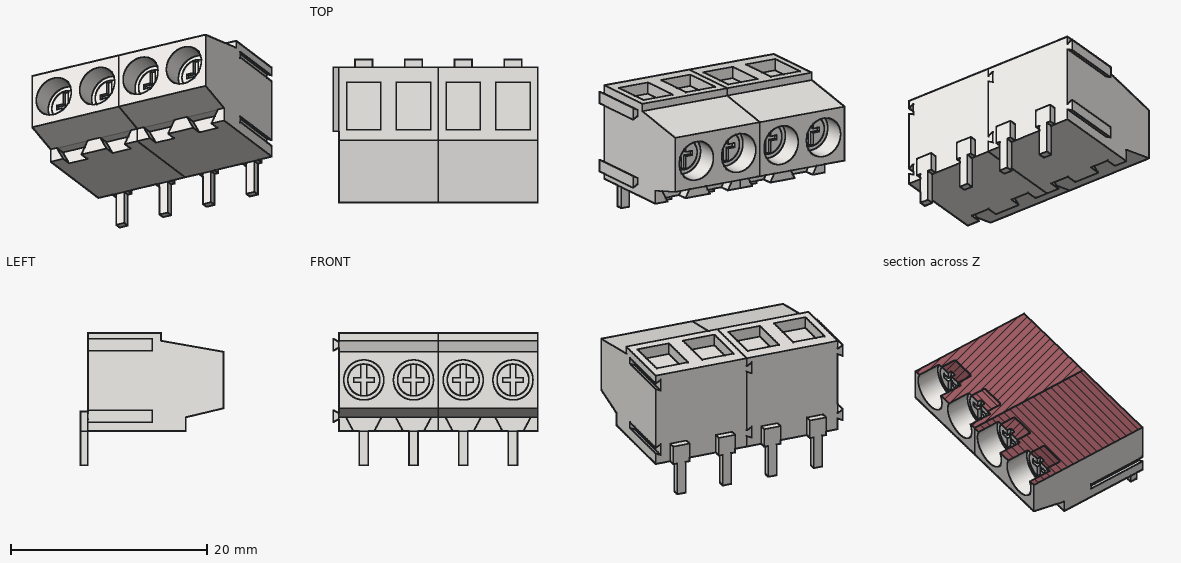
import cadquery as cq


MODULE_COUNT = 2
POLES_PER_MODULE = 2
POLE_PITCH = 5.07
MODULE_WIDTH = POLES_PER_MODULE * POLE_PITCH
POLE_COUNT = MODULE_COUNT * POLES_PER_MODULE
TOTAL_LENGTH = 20.87
TOTAL_DEPTH = 14.6

PIN_THICKNESS = 0.77
PIN_HEAD_WIDTH = 1.82
PIN_HEAD_HEIGHT = 2.0
PIN_LEG_WIDTH = 0.95
PIN_LEG_LENGTH = 3.49

BODY_HEIGHT = 10.02
BODY_DEPTH = TOTAL_DEPTH - PIN_THICKNESS
TOP_DEPTH = 7.45
TOP_STEP = 0.8
NOSE_TOP = 8.1
NOSE_BOTTOM = 2.32
FOOT_DEPTH = 9.98
FOOT_HEIGHT = 1.4

RAIL_PROJECTION = TOTAL_LENGTH - MODULE_COUNT * MODULE_WIDTH
RAIL_LENGTH = 6.57
RAIL_TIP_HEIGHT = 1.25
RAIL_ROOT_HEIGHT = 0.63
RAIL_CENTRES = (1.52, 8.8)

POCKET_WIDTH = 3.5
POCKET_LENGTH = 4.86
POCKET_BACK_WALL = 1.55
POCKET_DEPTH = 1.21

NOTCH_TOP_WIDTH = 3.61
NOTCH_BOTTOM_WIDTH = 2.13
NOTCH_DEPTH = 1.25

HOLE_RADIUS = 2.05
HOLE_DEPTH = 2.5
HOLE_HEIGHT = 5.22
SCREW_RADIUS = 1.63
SCREW_LENGTH = 1.67
SLOT_DEPTH = 0.42
LONG_SLOT_WIDTH = 0.58
SHORT_SLOT_LENGTH = 2.09
SHORT_SLOT_WIDTH = 0.45

FRONT_Y = -BODY_DEPTH
SCREW_FACE_Y = FRONT_Y + HOLE_DEPTH


def pole_centre(index):
    """X position of a pole, counted from the -X end."""
    return (index + 0.5) * POLE_PITCH


def plane_facing_front(x, y, z):
    """XZ workplane at a point; a positive extrusion goes toward the front."""
    return cq.Workplane("XZ", origin=(x, y, z))


def make_blank():
    """Plain housing: the side profile extruded over one module width."""
    return (
        cq.Workplane("YZ")
        .moveTo(0, 0)
        .lineTo(0, BODY_HEIGHT)
        .lineTo(-TOP_DEPTH, BODY_HEIGHT)
        .lineTo(-TOP_DEPTH, BODY_HEIGHT - TOP_STEP)
        .lineTo(FRONT_Y, NOSE_TOP)
        .lineTo(FRONT_Y, NOSE_BOTTOM)
        .lineTo(-FOOT_DEPTH, FOOT_HEIGHT)
        .lineTo(-FOOT_DEPTH, 0)
        .close()
        .extrude(MODULE_WIDTH)
    )


def make_rail(x, z):
    """Dovetail rail that widens from its root at x toward -X."""
    return (
        plane_facing_front(x, 0, z)
        .moveTo(0, -RAIL_ROOT_HEIGHT / 2)
        .lineTo(-RAIL_PROJECTION, -RAIL_TIP_HEIGHT / 2)
        .lineTo(-RAIL_PROJECTION, RAIL_TIP_HEIGHT / 2)
        .lineTo(0, RAIL_ROOT_HEIGHT / 2)
        .close()
        .extrude(RAIL_LENGTH)
    )


def make_top_pocket(x):
    centre_y = -POCKET_BACK_WALL - POCKET_LENGTH / 2
    return (
        cq.Workplane("XY", origin=(x, centre_y, BODY_HEIGHT))
        .rect(POCKET_WIDTH, POCKET_LENGTH)
        .extrude(-POCKET_DEPTH)
    )


def make_foot_notch(x):
    return (
        plane_facing_front(x, -FOOT_DEPTH, 0)
        .moveTo(-NOTCH_BOTTOM_WIDTH / 2, 0)
        .lineTo(NOTCH_BOTTOM_WIDTH / 2, 0)
        .lineTo(NOTCH_TOP_WIDTH / 2, FOOT_HEIGHT)
        .lineTo(-NOTCH_TOP_WIDTH / 2, FOOT_HEIGHT)
        .close()
        .extrude(-NOTCH_DEPTH)
    )


def make_screw_hole(x):
    """Access hole from the front, with a matching seat for the screw behind it."""
    access = plane_facing_front(x, FRONT_Y, HOLE_HEIGHT).circle(HOLE_RADIUS).extrude(-HOLE_DEPTH)
    seat = plane_facing_front(x, SCREW_FACE_Y, HOLE_HEIGHT).circle(SCREW_RADIUS).extrude(-SCREW_LENGTH)
    return access.union(seat)


def make_housing(module):
    """One module: rails on its -X side and matching grooves on its +X side."""
    housing = make_blank()
    for z in RAIL_CENTRES:
        housing = housing.union(make_rail(0, z))
        housing = housing.cut(make_rail(MODULE_WIDTH, z))
    for pole in range(POLES_PER_MODULE):
        x = pole_centre(pole)
        housing = housing.cut(make_top_pocket(x))
        housing = housing.cut(make_foot_notch(x))
        housing = housing.cut(make_screw_hole(x))
    return housing.translate((module * MODULE_WIDTH, 0, 0))


def make_screw(x):
    """Cylinder flush with the hole floor, with one slot across it and a short cross slot."""
    face = plane_facing_front(x, SCREW_FACE_Y, HOLE_HEIGHT)
    body = face.circle(SCREW_RADIUS).extrude(-SCREW_LENGTH)
    long_slot = face.rect(LONG_SLOT_WIDTH, 2 * SCREW_RADIUS).extrude(-SLOT_DEPTH)
    short_slot = face.rect(SHORT_SLOT_LENGTH, SHORT_SLOT_WIDTH).extrude(-SLOT_DEPTH)
    return body.cut(long_slot).cut(short_slot)


def make_pin(x):
    """T-shaped tag: a wide head against the housing back and a narrow leg below it."""
    head_half = PIN_HEAD_WIDTH / 2
    leg_half = PIN_LEG_WIDTH / 2
    return (
        plane_facing_front(x, 0, 0)
        .moveTo(-head_half, PIN_HEAD_HEIGHT)
        .lineTo(head_half, PIN_HEAD_HEIGHT)
        .lineTo(head_half, 0)
        .lineTo(leg_half, 0)
        .lineTo(leg_half, -PIN_LEG_LENGTH)
        .lineTo(-leg_half, -PIN_LEG_LENGTH)
        .lineTo(-leg_half, 0)
        .lineTo(-head_half, 0)
        .close()
        .extrude(-PIN_THICKNESS)
    )


housings = [make_housing(module) for module in range(MODULE_COUNT)]
screws = [make_screw(pole_centre(pole)) for pole in range(POLE_COUNT)]
pins = [make_pin(pole_centre(pole)) for pole in range(POLE_COUNT)]

result = cq.Compound.makeCompound([body.val() for body in housings + screws + pins])